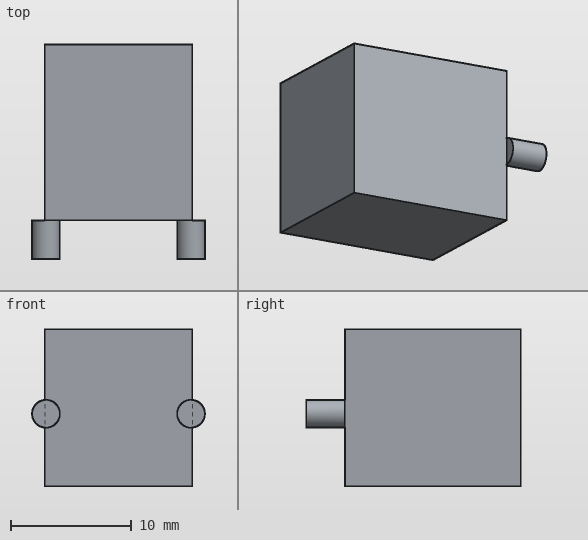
import cadquery as cq

body_width = 12.21
body_depth = 14.55
body_height = 13.0

pin_diameter = 2.3
pin_length = 3.2
pin_spacing = 12.0
pin_drop = 0.5

body = cq.Workplane("XY").box(body_width, body_depth, body_height)

pins = (
    cq.Workplane("XZ", origin=(0, -body_depth / 2, -pin_drop))
    .pushPoints([(-pin_spacing / 2, 0), (pin_spacing / 2, 0)])
    .circle(pin_diameter / 2)
    .extrude(pin_length)
)

result = body.union(pins)